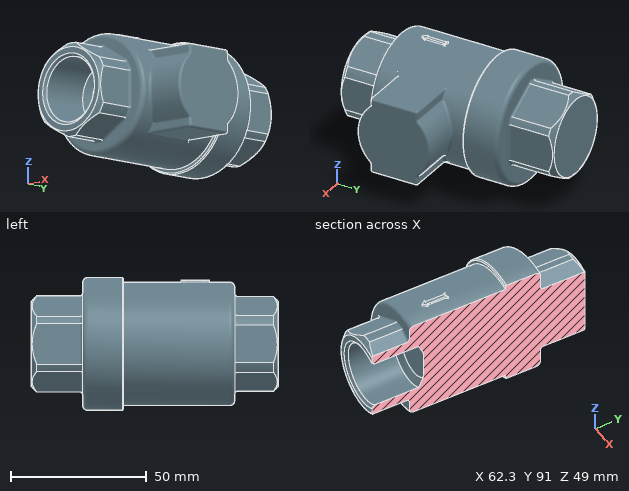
import cadquery as cq
import math

total_length = 91.0
edge_round = 1.0
root_margin = 0.1

body_radius = 22.75
body_start = 16.0
collar_radius = 24.5
collar_start = 57.0
collar_end = 72.1
shoulder_round = 2.0
collar_chamfer = 0.5

hex_across_flats = 32.1
inlet_corner_radius = 17.5
outlet_corner_radius = 17.7
hex_face_radius = 15.65

bore_radius = 12.2
bore_mouth_radius = 13.3
seat_radius = 9.0
bore_depth = 20.0
seat_angle = 59.0

port_end = 37.8
port_radius = 15.65
port_center_y = 35.5
port_flat_width = 20.2
port_flat_height = 31.5

arrow_tip_y = 25.4
arrow_length = 10.5
arrow_head_length = 1.8
arrow_tail_length = 1.1
arrow_notch = 0.5
arrow_width = 2.6
arrow_shaft_width = 1.4
arrow_top = 23.5


def cylinder_along_y(radius, start, end):
    return cq.Workplane("XZ", origin=(0, start, 0)).circle(radius).extrude(start - end)


def hex_end(corner_radius, face_y, root_y):
    """Hexagon with flats facing +-X, its corners turned down and its face bevelled at 45 degrees."""
    length = abs(root_y - face_y)
    inward = math.copysign(1, root_y - face_y)
    corner_to_corner = hex_across_flats / math.cos(math.pi / 6)
    prism = (
        cq.Workplane("XZ", origin=(0, face_y, 0))
        .transformed(rotate=(0, 0, 90))
        .polygon(6, corner_to_corner)
        .extrude(-inward * length)
    )
    bevel = corner_radius - hex_face_radius
    envelope = (
        cq.Workplane("XY")
        .moveTo(0, face_y)
        .lineTo(hex_face_radius, face_y)
        .lineTo(corner_radius, face_y + inward * bevel)
        .lineTo(corner_radius, root_y)
        .lineTo(0, root_y)
        .close()
        .revolve(360, (0, 0, 0), (0, 1, 0))
    )
    return prism.intersect(envelope)


def make_barrel():
    body = cylinder_along_y(body_radius, body_start, collar_start)
    body = body.faces("<Y").edges().fillet(shoulder_round)
    collar = cylinder_along_y(collar_radius, collar_start, collar_end)
    collar = collar.faces(">Y").edges().fillet(shoulder_round)
    collar = collar.faces("<Y").edges().chamfer(collar_chamfer)
    return body.union(collar)


def make_port():
    """Round port with flat pads above and below, reaching in to the flow axis."""
    tube = cq.Workplane("YZ", origin=(0, port_center_y, 0)).circle(port_radius).extrude(port_end)
    pads = (
        cq.Workplane("YZ", origin=(0, port_center_y, 0))
        .rect(port_flat_width, port_flat_height)
        .extrude(port_end)
    )
    port = tube.union(pads)
    reach_z = port_flat_height / 2 - edge_round
    inner_corners = cq.selectors.BoxSelector(
        (0, port_center_y - port_radius, -reach_z),
        (port_end, port_center_y + port_radius, reach_z),
    )
    return port.edges("|X").edges(inner_corners).fillet(edge_round)


def make_bore():
    """Blind bore with a countersunk mouth and a conical step to a flat floor."""
    mouth_depth = bore_mouth_radius - bore_radius
    floor_depth = bore_depth + (bore_radius - seat_radius) / math.tan(math.radians(seat_angle))
    return (
        cq.Workplane("XY")
        .lineTo(bore_mouth_radius, 0)
        .lineTo(bore_radius, mouth_depth)
        .lineTo(bore_radius, bore_depth)
        .lineTo(seat_radius, floor_depth)
        .lineTo(0, floor_depth)
        .close()
        .revolve(360, (0, 0, 0), (0, 1, 0))
    )


def make_arrow():
    half_width = arrow_width / 2
    half_shaft = arrow_shaft_width / 2
    head_y = arrow_tip_y + arrow_head_length
    tail_y = arrow_tip_y + arrow_length
    right_side = [
        (half_width, head_y),
        (half_shaft, head_y),
        (half_shaft, tail_y - arrow_tail_length),
        (half_width, tail_y),
    ]
    left_side = [(-x, y) for x, y in reversed(right_side)]
    outline = [(0, arrow_tip_y)] + right_side + [(0, tail_y - arrow_notch)] + left_side
    return cq.Workplane("XY").polyline(outline).close().extrude(arrow_top)


def round_edges(solid, low, high):
    """Round every edge that lies inside the box between two opposite corners."""
    return solid.edges(cq.selectors.BoxSelector(low, high, boundingbox=True)).fillet(edge_round)


def round_port_root(solid):
    reach_y = port_radius + edge_round
    reach_z = port_flat_height / 2 + edge_round
    return round_edges(
        solid,
        (hex_across_flats / 2, port_center_y - reach_y, -reach_z),
        (body_radius + edge_round, port_center_y + reach_y, reach_z),
    )


def round_pad_corners(solid):
    """Round the long outer corners of both pads, stopping at the rounded port root."""
    for side_y in (-1, 1):
        for side_z in (-1, 1):
            corner = (
                (body_radius + port_end) / 2,
                port_center_y + side_y * port_flat_width / 2,
                side_z * port_flat_height / 2,
            )
            solid = solid.edges("|X").edges(cq.NearestToPointSelector(corner)).fillet(edge_round)
    return solid


def round_hex_root(solid, root_y):
    """Round the corner where a hexagon meets the flat shoulder at root_y."""
    reach = outlet_corner_radius + edge_round
    return round_edges(solid, (-reach, root_y - root_margin, -reach), (reach, root_y + root_margin, reach))


casing = round_port_root(make_barrel().union(make_port()))
casing = round_pad_corners(casing)
casing = casing.faces(">X").edges().fillet(edge_round)
casing = casing.union(hex_end(inlet_corner_radius, 0, body_start))
casing = casing.union(hex_end(outlet_corner_radius, total_length, collar_end))
for shoulder_y in (body_start, collar_end):
    casing = round_hex_root(casing, shoulder_y)
result = casing.cut(make_bore()).union(make_arrow())